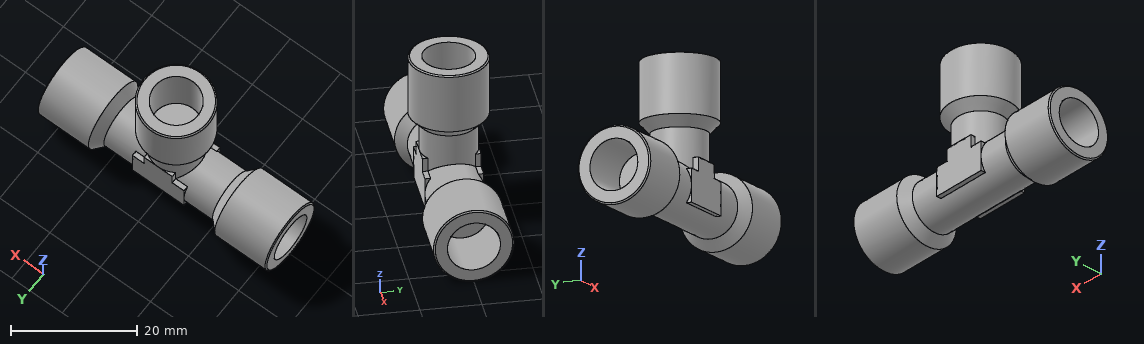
import cadquery as cq

overall_length = 45.5
branch_reach = 21.98
collar_diameter = 13.0
pipe_diameter = 9.5
bore_diameter = 8.55
collar_length = 10.2
rim_setback = 0.27
rim_length = 0.2
block_reach = 5.15
block_arm_width = 5.6

run_reach = overall_length / 2
collar_radius = collar_diameter / 2
pipe_radius = pipe_diameter / 2
shoulder_length = collar_radius - pipe_radius
bore_depth = collar_length


def port_profile(reach):
    """Half section of one port, from the tee centre up along Z."""
    collar_start = reach - collar_length
    return (
        cq.Workplane("XZ")
        .moveTo(0, 0)
        .lineTo(pipe_radius, 0)
        .lineTo(pipe_radius, collar_start - shoulder_length)
        .lineTo(collar_radius, collar_start)
        .lineTo(collar_radius, reach - rim_length)
        .lineTo(collar_radius - rim_setback, reach)
        .lineTo(bore_diameter / 2, reach)
        .lineTo(bore_diameter / 2, reach - bore_depth)
        .lineTo(0, reach - bore_depth)
        .close()
    )


def port(reach):
    """Pipe, conical shoulder and collar with a blind bore, along +Z."""
    return port_profile(reach).revolve(360, (0, 0, 0), (0, 1, 0))


def tee_block():
    """T-shaped block whose flat sides are tangent to the pipes."""
    run_arm = cq.Workplane("XY").box(2 * block_reach, pipe_diameter, block_arm_width)
    branch_arm = cq.Workplane("XY").box(
        block_arm_width, pipe_diameter, block_reach, centered=(True, True, False)
    )
    return run_arm.union(branch_arm)


result = port(branch_reach)
for tilt in (-90, 90):
    result = result.union(port(run_reach).rotate((0, 0, 0), (0, 1, 0), tilt))
result = result.union(tee_block())